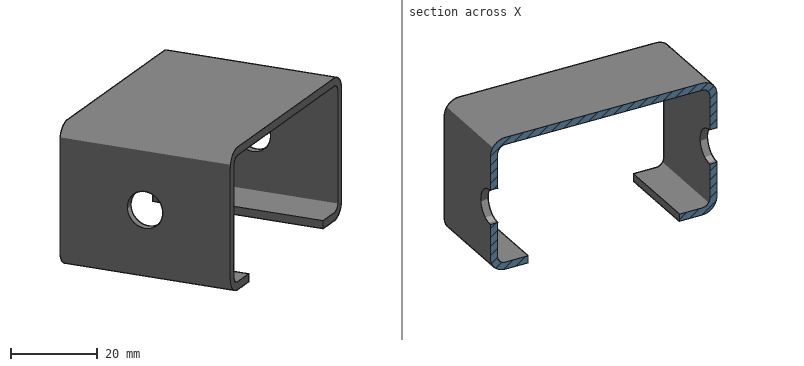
import cadquery as cq

length = 43.5
width = 60.0
height = 35.0
thickness = 2.0
inner_bend_radius = 2.0
outer_bend_radius = inner_bend_radius + thickness
lip_width = 10.0
hole_diameter = 9.0

slot_width = width - 2 * lip_width
inner_width = width - 2 * thickness
inner_height = height - 2 * thickness


def rounded_bar(bar_width, bar_height, corner_radius):
    """Bar along X, centred on the origin, with its four long edges rounded."""
    return cq.Workplane("XY").box(length, bar_width, bar_height).edges("|X").fillet(corner_radius)


def channel():
    """Rounded tube of constant wall, opened along the bottom to leave two lips."""
    outer = rounded_bar(width, height, outer_bend_radius)
    inner = rounded_bar(inner_width, inner_height, inner_bend_radius)
    slot = cq.Workplane("XY").box(length, slot_width, height / 2).translate((0, 0, -height / 4))
    return outer.cut(inner).cut(slot)


def cross_hole():
    """Cylinder along Y through the middle of both side walls."""
    return cq.Workplane("XZ").circle(hole_diameter / 2).extrude(width / 2, both=True)


result = channel().cut(cross_hole())